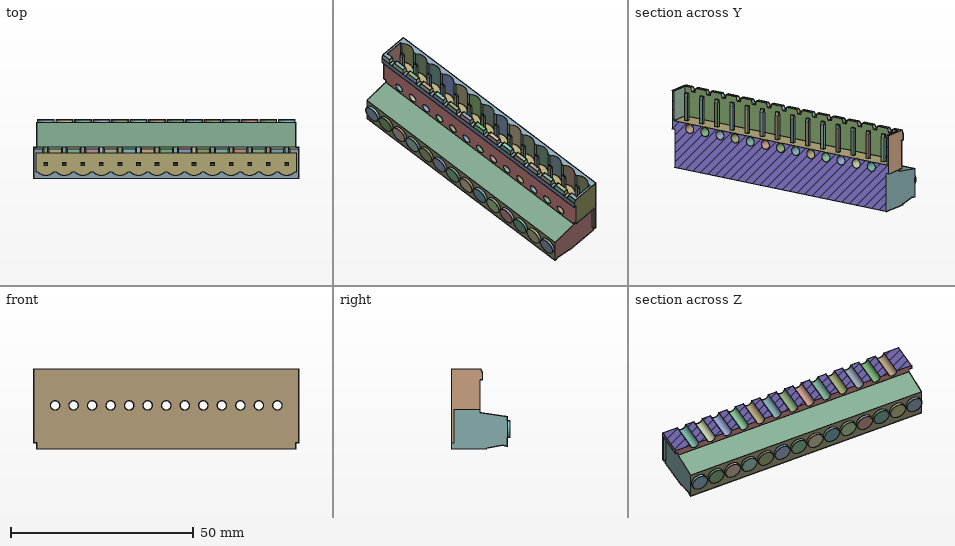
import cadquery as cq


pole_count = 14
pitch = 5.08

overall_length = 72.73
overall_height = 22.0
overall_depth = 16.15

body_length = pole_count * pitch
body_back = 15.4
body_back_bottom = 0.75
body_back_top = 8.95
relief_ridge_y = 14.0
relief_ridge_z = 1.05
foot_back = 9.7
foot_step = 0.25
shoulder_z = 10.05

shroud_back = 7.9
shroud_bottom = 10.95
plate_thickness = 0.7
plate_bottom = 1.75

lip_back = 8.6
lip_bottom = 19.0
lip_bevel_start = 20.9
lip_top_back = 8.15

socket_floor = 13.5
end_wall = 0.65
socket_back = 7.05
socket_front = 1.75
scallop_depth = 0.9
scallop_width = 4.3

notch_depth = 1.2
notch_bottom_width = 1.0
notch_top_width = 1.7

pin_width = 1.0
pin_thickness = 0.8
pin_y = 3.95
pin_top = 21.3
pin_tip_height = 1.0
pin_tip_thickness = 0.4

hole_diameter = 2.5
hole_z = 12.0

boss_diameter = 4.6
boss_z = 5.55


def row_positions(count):
    """X positions of a centred row at the pole pitch."""
    return [(index - (count - 1) / 2) * pitch for index in range(count)]


pole_positions = row_positions(pole_count)
gap_positions = row_positions(pole_count - 1)


def side_profile(points, length):
    """Extrude a closed (Y, Z) outline symmetrically along X."""
    return cq.Workplane("YZ").polyline(points).close().extrude(length / 2, both=True)


def cross_bar(length, y_min, y_max, z_min, z_max):
    """Box centred on X with the given Y and Z limits."""
    corner = (-length / 2, y_min, z_min)
    return cq.Workplane("XY").box(length, y_max - y_min, z_max - z_min, centered=False).translate(corner)


def make_body():
    return side_profile(
        [
            (0, 0),
            (foot_back, 0),
            (foot_back, foot_step),
            (relief_ridge_y, relief_ridge_z),
            (body_back, body_back_bottom),
            (body_back, body_back_top),
            (shroud_back, shoulder_z),
            (shroud_back, shroud_bottom),
            (0, shroud_bottom),
        ],
        body_length,
    )


def make_shroud():
    """Full-length upper block with its latching lip and thin front plate."""
    return side_profile(
        [
            (0, plate_bottom),
            (plate_thickness, plate_bottom),
            (plate_thickness, shroud_bottom),
            (shroud_back, shroud_bottom),
            (shroud_back, lip_bottom),
            (lip_back, lip_bottom),
            (lip_back, lip_bevel_start),
            (lip_top_back, overall_height),
            (0, overall_height),
        ],
        overall_length,
    )


def make_socket():
    """Socket cavity whose front wall is scalloped around every pole."""
    cavity = cross_bar(
        overall_length - 2 * end_wall, socket_front, socket_back, socket_floor, overall_height
    )
    outline = cq.Workplane("XY", origin=(0, 0, socket_floor))
    half_width = scallop_width / 2
    for x in pole_positions:
        outline = (
            outline.moveTo(x - half_width, socket_front)
            .threePointArc((x, socket_front - scallop_depth), (x + half_width, socket_front))
            .lineTo(x + half_width, socket_back)
            .lineTo(x - half_width, socket_back)
            .close()
        )
    return cavity.union(outline.extrude(overall_height - socket_floor))


def make_notches():
    """Tapered coding notches through the rear wall and lip, one per pole."""
    notch_floor = overall_height - notch_depth
    outline = cq.Workplane("XZ", origin=(0, lip_back, 0))
    for x in pole_positions:
        outline = (
            outline.moveTo(x - notch_bottom_width / 2, notch_floor)
            .lineTo(x + notch_bottom_width / 2, notch_floor)
            .lineTo(x + notch_top_width / 2, overall_height)
            .lineTo(x - notch_top_width / 2, overall_height)
            .close()
        )
    return outline.extrude(lip_back - socket_back)


def make_pins():
    """Flat contact pins with tips bevelled on the front and back."""
    half_thickness = pin_thickness / 2
    half_tip = pin_tip_thickness / 2
    bevel_start = pin_top - pin_tip_height
    pin = side_profile(
        [
            (pin_y - half_thickness, shroud_bottom),
            (pin_y + half_thickness, shroud_bottom),
            (pin_y + half_thickness, bevel_start),
            (pin_y + half_tip, pin_top),
            (pin_y - half_tip, pin_top),
            (pin_y - half_thickness, bevel_start),
        ],
        pin_width,
    )
    pins = cq.Workplane("XY")
    for x in pole_positions:
        pins = pins.add(pin.translate((x, 0, 0)))
    return pins.combine()


def make_holes():
    return (
        cq.Workplane("XZ", origin=(0, shroud_back, 0))
        .pushPoints([(x, hole_z) for x in gap_positions])
        .circle(hole_diameter / 2)
        .extrude(shroud_back)
    )


def make_bosses():
    return (
        cq.Workplane("XZ", origin=(0, overall_depth, 0))
        .pushPoints([(x, boss_z) for x in pole_positions])
        .circle(boss_diameter / 2)
        .extrude(overall_depth - body_back)
    )


result = (
    make_body()
    .union(make_shroud())
    .cut(make_socket())
    .cut(make_notches())
    .cut(make_holes())
    .union(make_pins())
    .union(make_bosses())
)